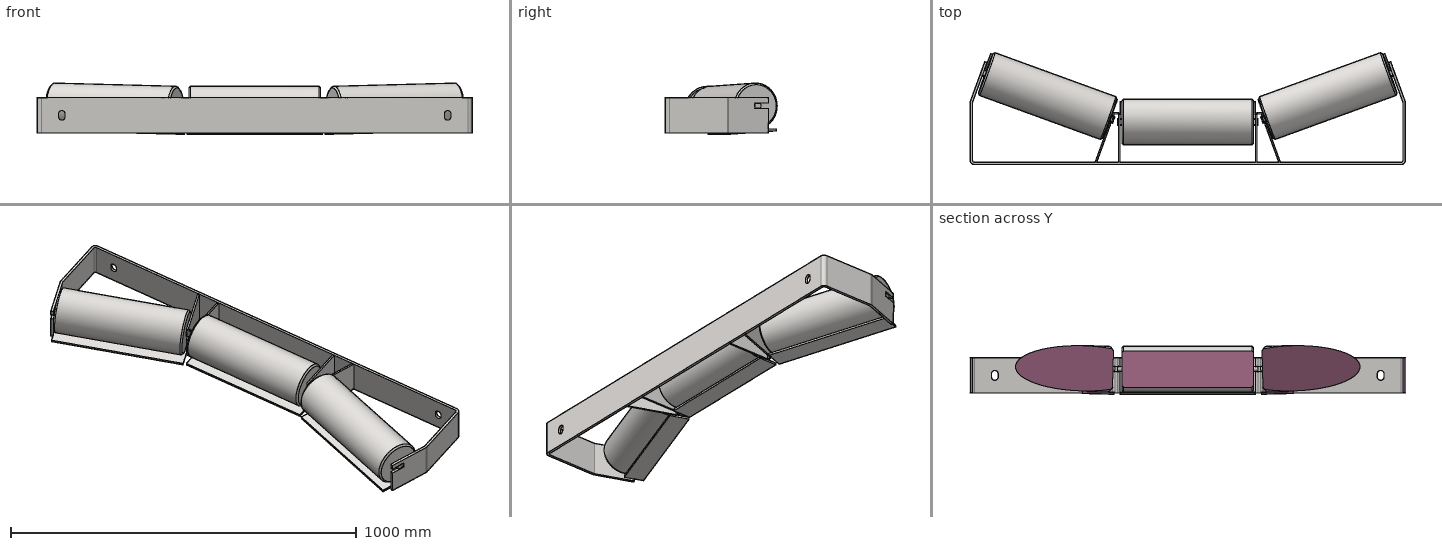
import cadquery as cq
import math

FRAME_LENGTH = 1260.0
FRAME_HEIGHT = 102.0
FRAME_THICKNESS = 8.0
FRAME_CORNER_RADIUS = 13.0
ARM_BEND_RADIUS = 10.0
ARM_RISE = 32.0
MOUNT_SLOT_WIDTH = 19.0
MOUNT_SLOT_LENGTH = 28.0
MOUNT_SLOT_SPACING = 1116.0
UPRIGHT = 90

ROLLER_DIAMETER = 132.0
ROLLER_LENGTH = 382.0
ROLLER_CHAMFER = 5.0
SHAFT_DIAMETER = 20.0
SHAFT_FLATS = 14.0
SUPPORT_SPAN = 392.0

SPLAY_ANGLE = 20.0
TILT_ANGLE = 1.4
CENTER_AXIS_Y = 123.0
CENTER_AXIS_Z = 69.0
WING_MID_X = 407.0
WING_MID_Y = 199.0

BRACKET_THICKNESS = 5.0
BRACKET_TOP_Y = 151.0
BRACKET_BEND_RADIUS = 8.0
SHAFT_SLOT_HEIGHT = 15.0

BAR_LENGTH = 390.0
BAR_WIDTH = 59.0
BAR_THICKNESS = 6.0
BAR_DROP = 67.0

SPLAY_SIN = math.sin(math.radians(SPLAY_ANGLE))
SPLAY_COS = math.cos(math.radians(SPLAY_ANGLE))
HALF_SPAN = SUPPORT_SPAN / 2
WING_MID_Z = CENTER_AXIS_Z + HALF_SPAN * math.sin(math.radians(TILT_ANGLE))
SHAFT_LENGTH = SUPPORT_SPAN + 2 * FRAME_THICKNESS
SLOT_TOOL_LENGTH = 25.0
SLOT_TOOL_DEPTH = 75.0


def wing_point(along, across):
    """Plan point at a distance along the right wing roller axis and square to it."""
    x = WING_MID_X + along * SPLAY_COS - across * SPLAY_SIN
    y = WING_MID_Y + along * SPLAY_SIN + across * SPLAY_COS
    return (x, y)


def wing_line_x(along, y):
    """X at height y of the plan line square to the right wing axis."""
    return WING_MID_X + (along - (y - WING_MID_Y) * SPLAY_SIN) / SPLAY_COS


def wing_line_y(along, x):
    """Y at position x of the plan line square to the right wing axis."""
    return WING_MID_Y + (along - (x - WING_MID_X) * SPLAY_COS) / SPLAY_SIN


def place_wing(body):
    """Move a body built about the origin along X onto the right wing axis.

    The tilt pivots at the guard bar, which keeps the bar centered between its supports.
    """
    tilted = body.rotate((0, 0, -BAR_DROP), (0, 1, -BAR_DROP), -TILT_ANGLE)
    splayed = tilted.rotate((0, 0, 0), (0, 0, 1), SPLAY_ANGLE)
    return splayed.translate((WING_MID_X, WING_MID_Y, WING_MID_Z))


def place_center(body):
    """Move a body built about the origin along X onto the center roller axis."""
    return body.translate((0, CENTER_AXIS_Y, CENTER_AXIS_Z))


def slot_tool(along):
    """Open-ended shaft slot cutter at a position along a roller axis."""
    return (
        cq.Workplane("XY")
        .box(SLOT_TOOL_LENGTH, SLOT_TOOL_DEPTH, SHAFT_SLOT_HEIGHT, centered=(True, False, True))
        .translate((along, -SHAFT_DIAMETER / 2, 0))
    )


def make_frame():
    half = FRAME_LENGTH / 2
    inner_half = half - FRAME_THICKNESS
    arm_inner = HALF_SPAN
    arm_outer = HALF_SPAN + FRAME_THICKNESS
    outer_bend = (half, wing_line_y(arm_outer, half))
    inner_bend = (inner_half, wing_line_y(arm_inner, inner_half))
    right_outer = [(half, 0), outer_bend, wing_point(arm_outer, ARM_RISE)]
    right_inner = [wing_point(arm_inner, ARM_RISE), inner_bend, (inner_half, FRAME_THICKNESS)]
    right_side = right_outer + right_inner
    left_side = [(-x, y) for x, y in reversed(right_side)]
    frame = cq.Workplane("XY").polyline(right_side + left_side).close().extrude(FRAME_HEIGHT)

    inner_corner_radius = FRAME_CORNER_RADIUS - FRAME_THICKNESS
    inner_bend_radius = ARM_BEND_RADIUS - FRAME_THICKNESS
    bends = [
        ((half, 0), FRAME_CORNER_RADIUS),
        ((inner_half, FRAME_THICKNESS), inner_corner_radius),
        (outer_bend, ARM_BEND_RADIUS),
        (inner_bend, inner_bend_radius),
    ]
    for (x, y), radius in bends:
        for side in (-1, 1):
            corner = cq.selectors.NearestToPointSelector((side * x, y, FRAME_HEIGHT / 2))
            frame = frame.edges("|Z").edges(corner).fillet(radius)

    mount_slots = (
        cq.Workplane("XZ")
        .pushPoints([(side * MOUNT_SLOT_SPACING / 2, FRAME_HEIGHT / 2) for side in (-1, 1)])
        .slot2D(MOUNT_SLOT_LENGTH, MOUNT_SLOT_WIDTH, UPRIGHT)
        .extrude(-2 * FRAME_THICKNESS)
    )
    shaft_slot = place_wing(slot_tool(HALF_SPAN))
    return frame.cut(mount_slots).cut(shaft_slot).cut(shaft_slot.mirror("YZ"))


def make_bracket():
    """Right bracket, between the center roller and the right wing roller."""
    straight_near = HALF_SPAN
    straight_far = HALF_SPAN + BRACKET_THICKNESS
    splayed_near = -HALF_SPAN
    splayed_far = -HALF_SPAN - BRACKET_THICKNESS
    base_y = FRAME_THICKNESS
    bridge_y = BRACKET_TOP_Y - BRACKET_THICKNESS
    outer_corners = [
        (straight_near, BRACKET_TOP_Y),
        (wing_line_x(splayed_near, BRACKET_TOP_Y), BRACKET_TOP_Y),
    ]
    outline = [
        (straight_near, base_y),
        *outer_corners,
        (wing_line_x(splayed_near, base_y), base_y),
        (wing_line_x(splayed_far, base_y), base_y),
        (wing_line_x(splayed_far, bridge_y), bridge_y),
        (straight_far, bridge_y),
        (straight_far, base_y),
    ]
    bracket = cq.Workplane("XY").polyline(outline).close().extrude(FRAME_HEIGHT)
    for x, y in outer_corners:
        corner = cq.selectors.NearestToPointSelector((x, y, FRAME_HEIGHT / 2))
        bracket = bracket.edges("|Z").edges(corner).fillet(BRACKET_BEND_RADIUS)
    center_slot = place_center(slot_tool(HALF_SPAN))
    wing_slot = place_wing(slot_tool(-HALF_SPAN))
    return bracket.cut(center_slot).cut(wing_slot)


def make_roller():
    """Chamfered roller with its flatted shaft, centered on the origin along X."""
    drum = (
        cq.Workplane("YZ", origin=(-ROLLER_LENGTH / 2, 0, 0))
        .circle(ROLLER_DIAMETER / 2)
        .extrude(ROLLER_LENGTH)
        .faces("<X or >X")
        .chamfer(ROLLER_CHAMFER)
    )
    shaft_flats = cq.Workplane("XY").box(SHAFT_LENGTH, SHAFT_DIAMETER, SHAFT_FLATS)
    shaft = (
        cq.Workplane("YZ", origin=(-SHAFT_LENGTH / 2, 0, 0))
        .circle(SHAFT_DIAMETER / 2)
        .extrude(SHAFT_LENGTH)
        .intersect(shaft_flats)
    )
    return drum.union(shaft)


def make_guard_bar():
    """Flat bar below the rear half of a roller that is centered on the origin."""
    return (
        cq.Workplane("XY")
        .box(BAR_LENGTH, BAR_WIDTH, BAR_THICKNESS, centered=(True, False, False))
        .translate((0, 0, -BAR_DROP - BAR_THICKNESS))
    )


def make_row(make_body):
    """One body on each of the three roller axes: center, right wing and left wing."""
    center = place_center(make_body())
    right_wing = place_wing(make_body())
    return [center, right_wing, right_wing.mirror("YZ")]


frame = make_frame()
right_bracket = make_bracket()
brackets = [right_bracket, right_bracket.mirror("YZ")]
rollers = make_row(make_roller)
guard_bars = make_row(make_guard_bar)

bodies = [frame, *brackets, *rollers, *guard_bars]
result = cq.Compound.makeCompound([body.val() for body in bodies])